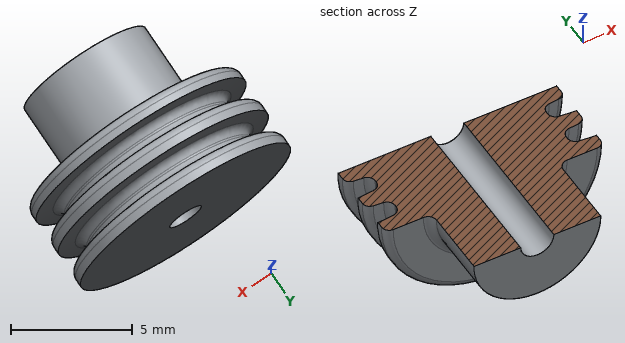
import cadquery as cq
import math

rim_radius = 10.35 / 2
hub_radius = 6.0 / 2
bore_radius = 1.55 / 2
total_length = 7.5
wheel_length = 4.0

groove_centers = (-1.18, -2.84)
groove_floor_radius = 8.1 / 2
groove_mouth_width = 0.95
groove_wall_angle = 5.0

rim_fillet = 0.35
groove_fillet = 0.36
hub_fillet = 0.39

groove_depth = rim_radius - groove_floor_radius
mouth_half = groove_mouth_width / 2
floor_half = mouth_half - groove_depth * math.tan(math.radians(groove_wall_angle))


def round_circles(body, circles, fillet_radius):
    """Fillet the circular edges given as (radius, y) pairs."""
    tolerance = 0.001

    def is_wanted(edge):
        if edge.geomType() != "CIRCLE":
            return False
        return any(
            abs(edge.radius() - radius) < tolerance and abs(edge.Center().y - y) < tolerance
            for radius, y in circles
        )

    return body.newObject(body.edges().filter(is_wanted).vals()).fillet(fillet_radius)


outline = [(bore_radius, 0), (rim_radius, 0)]
for center in groove_centers:
    outline += [
        (rim_radius, center + mouth_half),
        (groove_floor_radius, center + floor_half),
        (groove_floor_radius, center - floor_half),
        (rim_radius, center - mouth_half),
    ]
outline += [
    (rim_radius, -wheel_length),
    (hub_radius, -wheel_length),
    (hub_radius, -total_length),
    (bore_radius, -total_length),
]
pulley = cq.Workplane("XY").polyline(outline).close().revolve(360, (0, 0, 0), (0, 1, 0))

floor_edges = [
    (groove_floor_radius, center + side * floor_half)
    for center in groove_centers
    for side in (-1, 1)
]
pulley = round_circles(pulley, floor_edges, groove_fillet)

rim_edges = [(rim_radius, center + mouth_half) for center in groove_centers]
rim_edges.append((rim_radius, -wheel_length))
pulley = round_circles(pulley, rim_edges, rim_fillet)

pulley = round_circles(pulley, [(hub_radius, -wheel_length)], hub_fillet)

result = pulley